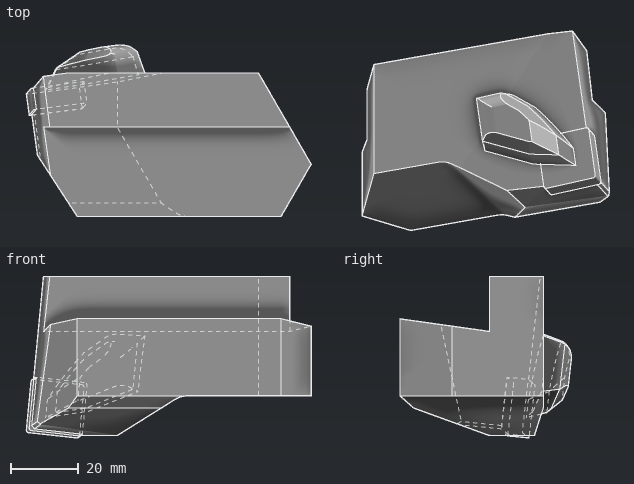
import cadquery as cq
import math

total_length = 83.9
block_depth = 42.3
block_top = 47.54
wall_front = 26.3
ledge_rear_height = 31.4
ledge_front_height = 35.1
block_bottom = 0.7
shank_bottom = 12.4

nose_chamfer_depth = 4.0
nose_chamfer_height = 3.6
underside_angle = 20.0

front_left_x = 15.0
left_bevel_angle = 33.0
right_tip_y = 15.4
right_bevel_angle = 30.0

relief_start_x = 26.8
relief_angle = 32.0
relief_radius = 8.0

insert_corner = (-0.07, 36.0, 1.62)
insert_tilt = (-5.7, 7.8, -5.5)
insert_size = 15.875
insert_thickness = 6.35
insert_nose_radius = 0.8
flank_setback = 0.7
base_setback = 0.6
flank_chamfer = 0.9

clamp_nose_x = 4.5
clamp_nose_low = 4.8
clamp_nose_high = 8.6
clamp_arc_mid = (9.1, 17.0)
clamp_arc_end = (15.0, 25.5)
clamp_shoulder_angle = 41.0
clamp_end_y = 31.8
clamp_tail_x = 32.5
clamp_heel_y = 16.0
clamp_belly = (18.0, 8.3)
clamp_shoulder_blend = 2.0

clamp_wall_height = 5.35
clamp_wall_draft = 15.0
clamp_crown_draft = 42.0
clamp_crown_end_gap = 4.0
clamp_foot_depth = 3.0

clamp_height = 8.55
clamp_nose_base_x = 5.4
clamp_nose_top = (8.8, 5.4)
clamp_crown_start_x = 15.5
clamp_crown_end_x = 25.0
clamp_tail_arc_mid = (28.6, 7.7)
clamp_tail = (31.0, 5.6)

clamp_end_arc_start = (25.2, clamp_height)
clamp_end_arc_mid = (28.2, 7.5)
clamp_end_arc_end = (30.1, 5.9)

reach = 2 * total_length

face_plane = cq.Plane.named("XZ", insert_corner).rotated(insert_tilt)
outward_plane = cq.Plane(face_plane.origin, face_plane.xDir, -face_plane.zDir)
length_plane = cq.Plane(face_plane.origin, face_plane.xDir, face_plane.yDir)
end_plane = cq.Plane(face_plane.origin, face_plane.yDir, -face_plane.xDir)


def make_block():
    """Stepped section trimmed by the plan outline and by the underside relief."""
    slope_run = (shank_bottom - nose_chamfer_height - block_bottom) / math.tan(math.radians(underside_angle))
    section = (
        cq.Workplane("YZ")
        .moveTo(0, shank_bottom)
        .lineTo(0, ledge_front_height)
        .lineTo(wall_front, ledge_rear_height)
        .lineTo(wall_front, block_top)
        .lineTo(block_depth, block_top)
        .lineTo(block_depth, block_bottom)
        .lineTo(nose_chamfer_depth + slope_run, block_bottom)
        .lineTo(nose_chamfer_depth, shank_bottom - nose_chamfer_height)
        .close()
        .extrude(reach, both=True)
    )
    left_slope = math.tan(math.radians(left_bevel_angle))
    right_slope = math.tan(math.radians(right_bevel_angle))
    plan = (
        cq.Workplane("XY")
        .moveTo(front_left_x, 0)
        .lineTo(total_length - right_tip_y * right_slope, 0)
        .lineTo(total_length, right_tip_y)
        .lineTo(total_length - (block_depth - right_tip_y) * right_slope, block_depth)
        .lineTo(front_left_x - block_depth * left_slope, block_depth)
        .close()
        .extrude(reach, both=True)
    )
    relief_end_x = relief_start_x + (shank_bottom - block_bottom) / math.tan(math.radians(relief_angle))
    relief = (
        cq.Workplane("XZ")
        .moveTo(relief_start_x, block_bottom)
        .lineTo(relief_end_x, shank_bottom)
        .lineTo(total_length, shank_bottom)
        .lineTo(total_length, block_bottom)
        .close()
        .extrude(-block_depth)
        .edges(cq.selectors.NearestToPointSelector((relief_end_x, block_depth / 2, shank_bottom)))
        .fillet(relief_radius)
    )
    return section.intersect(plan).cut(relief)


def make_flanks():
    """Region kept behind the two flanks and the insert's outer face."""
    return (
        cq.Workplane(face_plane)
        .moveTo(flank_setback + flank_chamfer, base_setback)
        .lineTo(reach, base_setback)
        .lineTo(reach, reach)
        .lineTo(flank_setback, reach)
        .lineTo(flank_setback, base_setback + flank_chamfer)
        .close()
        .extrude(reach)
    )


def make_insert():
    return (
        cq.Workplane(face_plane)
        .rect(insert_size, insert_size, centered=False)
        .extrude(insert_thickness)
        .edges(cq.selectors.ParallelDirSelector(face_plane.zDir))
        .fillet(insert_nose_radius)
    )


def clamp_prism(end_y, draft, wall_top_inset):
    """Drafted prism on the clamp plan, inset by wall_top_inset at the top of the wall."""
    def up(x, y):
        return (x, -y)

    angle = math.radians(clamp_shoulder_angle)
    arc_end_x, arc_end_y = clamp_arc_end
    shoulder_x = arc_end_x + (end_y - arc_end_y) / math.tan(angle)
    blend_start = up(
        shoulder_x - clamp_shoulder_blend * math.cos(angle),
        end_y - clamp_shoulder_blend * math.sin(angle),
    )
    base_outset = (clamp_foot_depth + clamp_wall_height) * math.tan(math.radians(draft)) - wall_top_inset
    return (
        cq.Workplane(outward_plane)
        .workplane(offset=-clamp_foot_depth)
        .moveTo(*up(clamp_nose_x, clamp_nose_low))
        .lineTo(*up(clamp_nose_x, clamp_nose_high))
        .threePointArc(up(*clamp_arc_mid), up(*clamp_arc_end))
        .lineTo(*blend_start)
        .tangentArcPoint(up(shoulder_x + clamp_shoulder_blend, end_y), relative=False)
        .lineTo(*up(clamp_tail_x, end_y))
        .lineTo(*up(clamp_tail_x, clamp_heel_y))
        .lineTo(*up(*clamp_belly))
        .close()
        .offset2D(base_outset, "intersection")
        .extrude(clamp_foot_depth + clamp_height, taper=draft)
    )


def make_clamp():
    """Common part of the wall and crown prisms, trimmed to the clamp's two profiles."""
    wall_top_inset = clamp_wall_height * math.tan(math.radians(clamp_wall_draft))
    wall = clamp_prism(clamp_end_y, clamp_wall_draft, wall_top_inset)
    crown = clamp_prism(clamp_end_y + clamp_crown_end_gap, clamp_crown_draft, wall_top_inset)
    length_profile = (
        cq.Workplane(length_plane)
        .moveTo(clamp_nose_base_x, -clamp_foot_depth)
        .lineTo(clamp_nose_base_x, 0)
        .lineTo(*clamp_nose_top)
        .lineTo(clamp_crown_start_x, clamp_height)
        .lineTo(clamp_crown_end_x, clamp_height)
        .threePointArc(clamp_tail_arc_mid, clamp_tail)
        .lineTo(clamp_tail_x, -clamp_foot_depth)
        .close()
        .extrude(reach, both=True)
    )
    end_profile = (
        cq.Workplane(end_plane)
        .moveTo(0, -clamp_foot_depth)
        .lineTo(0, clamp_height)
        .lineTo(*clamp_end_arc_start)
        .threePointArc(clamp_end_arc_mid, clamp_end_arc_end)
        .lineTo(clamp_end_y + clamp_crown_end_gap, -clamp_foot_depth)
        .close()
        .extrude(reach, both=True)
    )
    return wall.intersect(crown).intersect(length_profile).intersect(end_profile)


insert = make_insert()
holder = make_block().intersect(make_flanks()).union(make_clamp()).cut(insert)

result = cq.Compound.makeCompound([holder.val(), insert.val()])